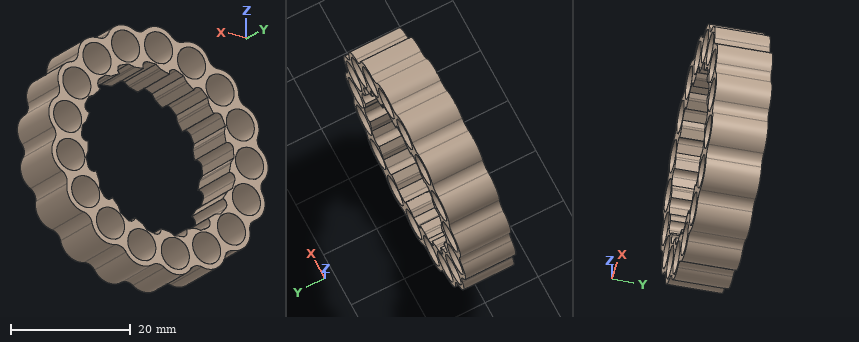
import cadquery as cq
import math

CELLS = 17
OUTER_X = 44.15
WIDTH = 9.5
BORE_CIRCLE_RADIUS = 18.35
BORE_RADIUS = 2.82
VALLEY_RADIUS = 2.0

pitch = 2 * math.pi / CELLS
half_pitch = pitch / 2

widest_cell = round(CELLS / 4)
lobe_radius = OUTER_X / 2 - BORE_CIRCLE_RADIUS * math.sin(widest_cell * pitch)

TOOTH_TIP = (-2.15, 14.08)
FLANK_END = (-0.57, 14.5)
RAMP_START = (-0.2, 14.7)
RAMP_TOP = (0.55, 15.25)
POCKET_FLOOR_END = (2.1, 15.3)


def in_cell(index, point):
    """Turn a point of the top cell clockwise into the cell with this index."""
    x, z = point
    cosine = math.cos(index * pitch)
    sine = math.sin(index * pitch)
    return (x * cosine + z * sine, z * cosine - x * sine)


def lobed_outline():
    """Closed outline of lobes joined by tangent concave valleys."""
    joined_radius = lobe_radius + VALLEY_RADIUS
    half_spacing = BORE_CIRCLE_RADIUS * math.sin(half_pitch)
    valley_centre_radius = BORE_CIRCLE_RADIUS * math.cos(half_pitch) + math.sqrt(
        joined_radius**2 - half_spacing**2
    )
    valley_x = valley_centre_radius * math.sin(half_pitch)
    valley_z = valley_centre_radius * math.cos(half_pitch)

    share = lobe_radius / joined_radius
    touch_x = share * valley_x
    touch_z = BORE_CIRCLE_RADIUS + share * (valley_z - BORE_CIRCLE_RADIUS)

    lobe_start = (-touch_x, touch_z)
    lobe_crest = (0, BORE_CIRCLE_RADIUS + lobe_radius)
    lobe_end = (touch_x, touch_z)
    valley_floor_radius = valley_centre_radius - VALLEY_RADIUS
    valley_floor = (
        valley_floor_radius * math.sin(half_pitch),
        valley_floor_radius * math.cos(half_pitch),
    )

    outline = cq.Workplane("XZ").moveTo(*lobe_start)
    for cell in range(CELLS):
        outline = outline.threePointArc(in_cell(cell, lobe_crest), in_cell(cell, lobe_end))
        outline = outline.threePointArc(in_cell(cell, valley_floor), in_cell(cell + 1, lobe_start))
    return outline.close()


def ratchet_outline():
    """Closed outline of the central opening with one tooth per cell."""
    outline = cq.Workplane("XZ").moveTo(*TOOTH_TIP)
    for cell in range(CELLS):
        outline = outline.lineTo(*in_cell(cell, FLANK_END))
        outline = outline.tangentArcPoint(in_cell(cell, RAMP_START), relative=False)
        outline = outline.lineTo(*in_cell(cell, RAMP_TOP))
        outline = outline.lineTo(*in_cell(cell, POCKET_FLOOR_END))
        outline = outline.tangentArcPoint(in_cell(cell + 1, TOOTH_TIP), relative=False)
    return outline.close()


bore_centres = [in_cell(cell, (0, BORE_CIRCLE_RADIUS)) for cell in range(CELLS)]

body = lobed_outline().extrude(WIDTH / 2, both=True)
opening = ratchet_outline().extrude(WIDTH / 2, both=True)
bores = cq.Workplane("XZ").pushPoints(bore_centres).circle(BORE_RADIUS).extrude(WIDTH / 2, both=True)

result = body.cut(opening).cut(bores)